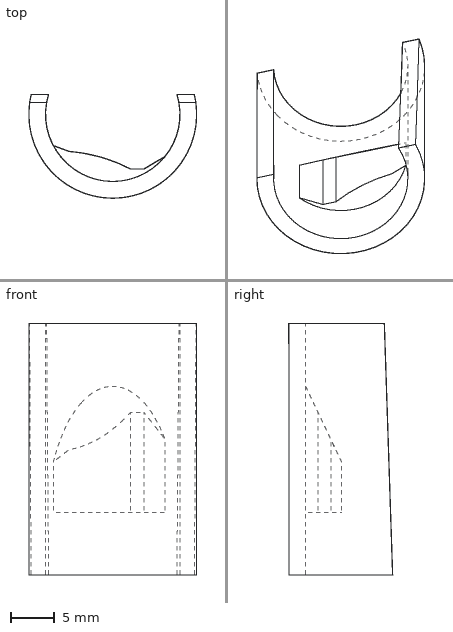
import cadquery as cq
import math

height = 28.75
outer_radius = 19.17 / 2
wall = 1.93
inner_radius = outer_radius - wall
shell_depth = 11.87
edge_lean = 0.95

relief_base = 7.18
relief_low = 12.93
relief_high = 21.55
left_tip_x = -6.78
shoulder = (-4.97, -4.22)
crest = (-0.6, -5.12)
ledge_left = (2.05, -6.25)
ledge_right = (3.55, ledge_left[1])
right_tip_x = 5.98


def on_bore(x):
    """Point on the -Y half of the bore at the given X."""
    return (x, -math.sqrt(inner_radius**2 - x**2))


def make_shell():
    tube = cq.Workplane("XY").circle(outer_radius).circle(inner_radius).extrude(height)
    front_y = -outer_radius
    bottom_back_y = front_y + shell_depth
    keep = (
        cq.Workplane("YZ")
        .polyline([
            (front_y, 0),
            (bottom_back_y, 0),
            (bottom_back_y - edge_lean, height),
            (front_y, height),
        ])
        .close()
        .extrude(outer_radius, both=True)
    )
    return tube.intersect(keep)


def make_relief():
    left_tip = on_bore(left_tip_x)
    right_tip = on_bore(right_tip_x)
    bore_bottom = (0, -inner_radius)
    block = (
        cq.Workplane("XY")
        .moveTo(*left_tip)
        .lineTo(*shoulder)
        .spline([crest, ledge_left], includeCurrent=True)
        .lineTo(*ledge_right)
        .lineTo(*right_tip)
        .threePointArc(bore_bottom, left_tip)
        .close()
        .extrude(height)
    )
    sloped_top = (
        cq.Workplane("YZ")
        .polyline([
            (-inner_radius, relief_base),
            (left_tip[1], relief_base),
            (left_tip[1], relief_low),
            (-inner_radius, relief_high),
        ])
        .close()
        .extrude(inner_radius, both=True)
    )
    return block.intersect(sloped_top)


shell = make_shell()
relief = make_relief()
result = cq.Compound.makeCompound([*shell.vals(), *relief.vals()])